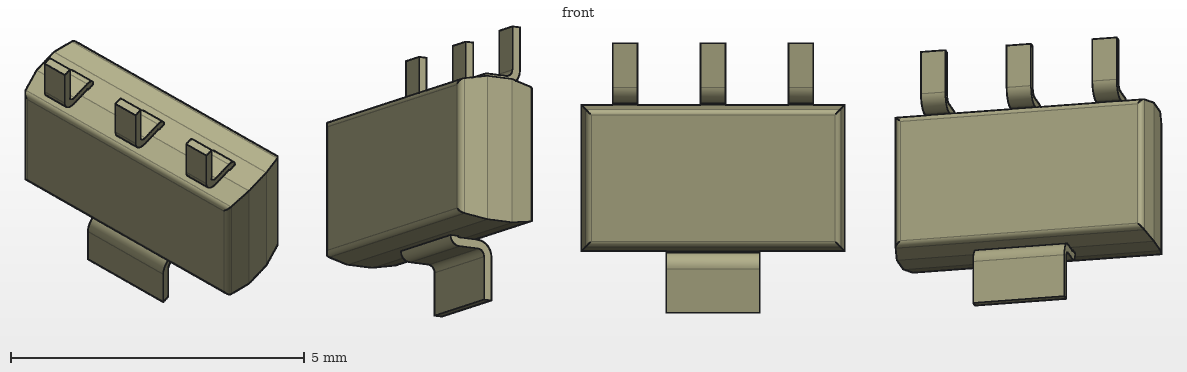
import cadquery as cq
import math

HOUSING_LENGTH = 4.5
HOUSING_DEPTH = 1.5
HOUSING_HEIGHT = 2.5
BAND_DEPTH = 0.5
DRAFT_ANGLE = 10.0
EDGE_RADIUS = 0.1

OVERALL_HEIGHT = 4.6
LEAD_THICKNESS = 0.15
ROOT_INNER_RADIUS = 0.025
FOOT_INNER_RADIUS = 0.125
PIN_WIDTH = 0.43
PIN_PITCH = 1.5
PIN_COUNT = 3
TAB_WIDTH = 1.595


def make_housing():
    """Box band with a tapered, round-edged half on each side."""
    half_depth = (HOUSING_DEPTH - BAND_DEPTH) / 2
    body = cq.Workplane("XZ").rect(HOUSING_LENGTH, HOUSING_HEIGHT).extrude(BAND_DEPTH / 2, both=True)
    for side in (-1, 1):
        half = (
            cq.Workplane("XZ", origin=(0, side * BAND_DEPTH / 2, 0))
            .rect(HOUSING_LENGTH, HOUSING_HEIGHT)
            .extrude(-side * half_depth, taper=DRAFT_ANGLE)
        )
        body = body.union(half)
    return body.faces("<Y or >Y").edges().fillet(EDGE_RADIUS)


def arc_middle(center, radius, angle_degrees):
    """Point on a circle in the lead's profile plane."""
    angle = math.radians(angle_degrees)
    return (center[0] + radius * math.cos(angle), center[1] + radius * math.sin(angle))


def make_lead(width, center_x):
    """Strip rising from the housing top at mid-depth, running forward, then up into a foot."""
    base = HOUSING_HEIGHT / 2
    tip = OVERALL_HEIGHT / 2
    root_back = LEAD_THICKNESS / 2
    root_front = -LEAD_THICKNESS / 2
    foot_front = -HOUSING_DEPTH / 2
    foot_back = foot_front + LEAD_THICKNESS
    root_outer_radius = ROOT_INNER_RADIUS + LEAD_THICKNESS
    foot_outer_radius = FOOT_INNER_RADIUS + LEAD_THICKNESS
    shelf_bottom = base + ROOT_INNER_RADIUS
    shelf_top = shelf_bottom + LEAD_THICKNESS
    root_center = (root_front - ROOT_INNER_RADIUS, base)
    foot_center = (foot_back + FOOT_INNER_RADIUS, shelf_top + FOOT_INNER_RADIUS)

    profile = (
        cq.Workplane("YZ", origin=(center_x, 0, 0))
        .moveTo(root_back, base)
        .threePointArc(arc_middle(root_center, root_outer_radius, 45), (root_center[0], shelf_top))
        .lineTo(foot_center[0], shelf_top)
        .threePointArc(arc_middle(foot_center, FOOT_INNER_RADIUS, 225), (foot_back, foot_center[1]))
        .lineTo(foot_back, tip)
        .lineTo(foot_front, tip)
        .lineTo(foot_front, foot_center[1])
        .threePointArc(arc_middle(foot_center, foot_outer_radius, 225), (foot_center[0], shelf_bottom))
        .lineTo(root_center[0], shelf_bottom)
        .threePointArc(arc_middle(root_center, ROOT_INNER_RADIUS, 45), (root_front, base))
        .close()
    )
    return profile.extrude(width / 2, both=True)


housing = make_housing()

pins = []
for index in range(PIN_COUNT):
    pin_x = (index - (PIN_COUNT - 1) / 2) * PIN_PITCH
    pins.append(make_lead(PIN_WIDTH, pin_x))

tab = make_lead(TAB_WIDTH, 0).mirror("XY")

result = cq.Compound.makeCompound([housing.val(), *[pin.val() for pin in pins], tab.val()])